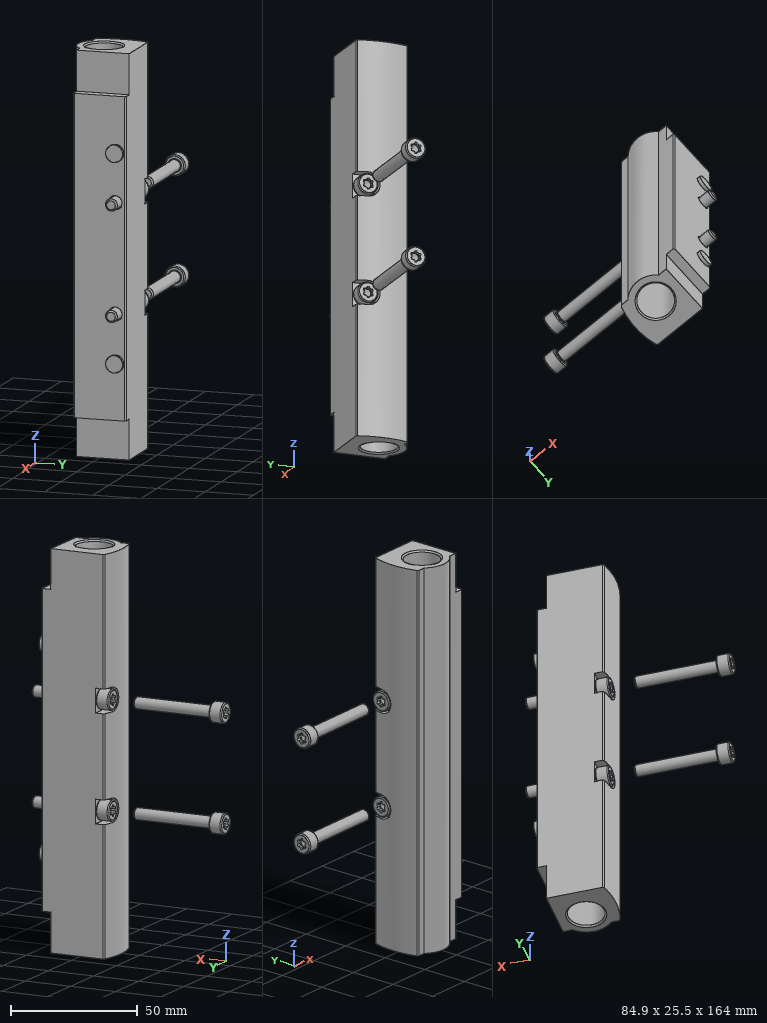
import cadquery as cq
import math

BAR_LENGTH = 164.0
BAR_BACK = 14.5
BAR_FRONT = -7.5
BAR_RIGHT = 12.0
BAR_CROWN = -13.5
CROWN_RADIUS = 35.0
CORNER_CHAMFER = 0.5
BARREL_RADIUS = 11.0
BORE_DIAMETER = 15.0
BORE_MOUTH_DIAMETER = 16.2

PAD_FACE = 16.0
PAD_LENGTH = 130.9
PAD_CHAMFER = 0.5

FASTENER_Y = 10.0
SCREW_SPACING = 45.0
SHANK_DIAMETER = 5.0
COLLAR_DIAMETER = 5.5
HEAD_DIAMETER = 8.5
HEAD_HEIGHT = 5.5
HEAD_CHAMFER = 0.5
TIP_CHAMFER = 0.7
FITTED_SHANK = 29.4
LOOSE_SHANK = 34.5
LOOSE_HEAD_X = -63.5

LOBE_COUNT = 6
FIRST_LOBE_ANGLE = 90
SOCKET_DIAMETER = 4.6
LOBE_RADIUS = 0.5
SOCKET_DEPTH = 2.0
SOCKET_CONE_DEPTH = 1.0

POCKET_DIAMETER = 10.0

DOWEL_SPACING = 85.0
DOWEL_DIAMETER = 7.0
DOWEL_PROTRUSION = 1.5
DOWEL_DEPTH = 3.0

FITTED_HEAD_X = BAR_CROWN
SCREW_HEIGHTS = (-SCREW_SPACING / 2, SCREW_SPACING / 2)
DOWEL_HEIGHTS = (-DOWEL_SPACING / 2, DOWEL_SPACING / 2)


def x_cylinder(diameter, start_x, length, z):
    """Cylinder along +X on the fastener axis at height z."""
    centre = cq.Vector(start_x, FASTENER_Y, z)
    return cq.Workplane(cq.Solid.makeCylinder(diameter / 2, length, centre, cq.Vector(1, 0, 0)))


def make_bar_block():
    """Crowned block with a barrel along its front."""
    half_width = (BAR_BACK - BAR_FRONT) / 2
    crown_drop = CROWN_RADIUS - math.sqrt(CROWN_RADIUS**2 - half_width**2)
    corner_x = BAR_CROWN + crown_drop
    block = (
        cq.Workplane("XY")
        .moveTo(BAR_RIGHT, BAR_FRONT)
        .lineTo(BAR_RIGHT, BAR_BACK)
        .lineTo(corner_x, BAR_BACK)
        .threePointArc((BAR_CROWN, BAR_BACK - half_width), (corner_x, BAR_FRONT))
        .close()
        .extrude(BAR_LENGTH / 2, both=True)
    )
    crown_corners = block.edges(cq.NearestToPointSelector((corner_x, BAR_BACK, 0))).add(
        block.edges(cq.NearestToPointSelector((corner_x, BAR_FRONT, 0)))
    )
    block = crown_corners.chamfer(CORNER_CHAMFER)
    barrel = cq.Workplane("XY").circle(BARREL_RADIUS).extrude(BAR_LENGTH / 2, both=True)
    return block.union(barrel)


def make_pad():
    """Mounting pad, reaching in to the bore axis, with its long outer edges chamfered."""
    pad = cq.Workplane("XY").box(PAD_FACE, BAR_BACK - BAR_FRONT, PAD_LENGTH, centered=(False, False, True))
    return pad.translate((0, BAR_FRONT, 0)).edges("|Z and >X").chamfer(PAD_CHAMFER)


def make_bore():
    """Through bore with a chamfered mouth at each end."""
    mouth_chamfer = (BORE_MOUTH_DIAMETER - BORE_DIAMETER) / 2
    bore = cq.Workplane("XY").circle(BORE_DIAMETER / 2).extrude(BAR_LENGTH / 2, both=True)
    mouth = cq.Workplane(
        cq.Solid.makeCone(BORE_DIAMETER / 2, BORE_MOUTH_DIAMETER / 2, mouth_chamfer)
    ).translate((0, 0, BAR_LENGTH / 2 - mouth_chamfer))
    return bore.union(mouth).union(mouth.mirror("XY"))


def make_head_pocket(z):
    """Round-bottomed pocket that opens through the crowned face and the back."""
    pocket = x_cylinder(POCKET_DIAMETER, FITTED_HEAD_X, HEAD_HEIGHT, z)
    opening = (
        cq.Workplane("XY")
        .box(HEAD_HEIGHT, BAR_BACK - FASTENER_Y, POCKET_DIAMETER, centered=(False, False, True))
        .translate((FITTED_HEAD_X, FASTENER_Y, z))
    )
    return pocket.union(opening)


def make_housing():
    """Bar with its pad, bore, screw pockets and holes, and dowel seats."""
    housing = make_bar_block().union(make_pad()).cut(make_bore())
    for z in SCREW_HEIGHTS:
        housing = housing.cut(make_head_pocket(z))
        housing = housing.cut(x_cylinder(COLLAR_DIAMETER, FITTED_HEAD_X, PAD_FACE - FITTED_HEAD_X, z))
    for z in DOWEL_HEIGHTS:
        housing = housing.cut(x_cylinder(DOWEL_DIAMETER, PAD_FACE - DOWEL_DEPTH, DOWEL_DEPTH, z))
    return housing


def make_socket():
    """Six-lobed recess with a conical floor, entering the head face at X = 0."""
    lobe_ring = SOCKET_DIAMETER / 2 - LOBE_RADIUS
    socket = cq.Workplane("YZ").circle(lobe_ring).extrude(SOCKET_DEPTH)
    lobes = (
        cq.Workplane("YZ")
        .polarArray(lobe_ring, FIRST_LOBE_ANGLE, 360, LOBE_COUNT)
        .circle(LOBE_RADIUS)
        .extrude(SOCKET_DEPTH)
    )
    floor_cone = cq.Solid.makeCone(
        lobe_ring, 0, SOCKET_CONE_DEPTH, cq.Vector(SOCKET_DEPTH, 0, 0), cq.Vector(1, 0, 0)
    )
    return socket.union(lobes).union(cq.Workplane(floor_cone))


def make_screw(shank_length, head_x, z):
    """Cap screw with its head face at head_x."""
    head_radius = HEAD_DIAMETER / 2
    shank_radius = SHANK_DIAMETER / 2
    collar_radius = COLLAR_DIAMETER / 2
    collar_length = collar_radius - shank_radius
    tip = HEAD_HEIGHT + shank_length
    screw = (
        cq.Workplane("XY")
        .lineTo(0, head_radius - HEAD_CHAMFER)
        .lineTo(HEAD_CHAMFER, head_radius)
        .lineTo(HEAD_HEIGHT - HEAD_CHAMFER, head_radius)
        .lineTo(HEAD_HEIGHT, head_radius - HEAD_CHAMFER)
        .lineTo(HEAD_HEIGHT, collar_radius)
        .lineTo(HEAD_HEIGHT + collar_length, shank_radius)
        .lineTo(tip - TIP_CHAMFER, shank_radius)
        .lineTo(tip, shank_radius - TIP_CHAMFER)
        .lineTo(tip, 0)
        .close()
        .revolve(360, (0, 0, 0), (1, 0, 0))
    )
    return screw.cut(make_socket()).translate((head_x, FASTENER_Y, z))


def make_dowel(z):
    """Short pin seated in the mounting pad."""
    return x_cylinder(DOWEL_DIAMETER, PAD_FACE - DOWEL_DEPTH, DOWEL_DEPTH + DOWEL_PROTRUSION, z)


housing = make_housing()
fitted_screws = [make_screw(FITTED_SHANK, FITTED_HEAD_X, z) for z in SCREW_HEIGHTS]
loose_screws = [make_screw(LOOSE_SHANK, LOOSE_HEAD_X, z) for z in SCREW_HEIGHTS]
dowels = [make_dowel(z) for z in DOWEL_HEIGHTS]

bodies = [housing, *fitted_screws, *loose_screws, *dowels]
result = cq.Compound.makeCompound([body.val() for body in bodies])